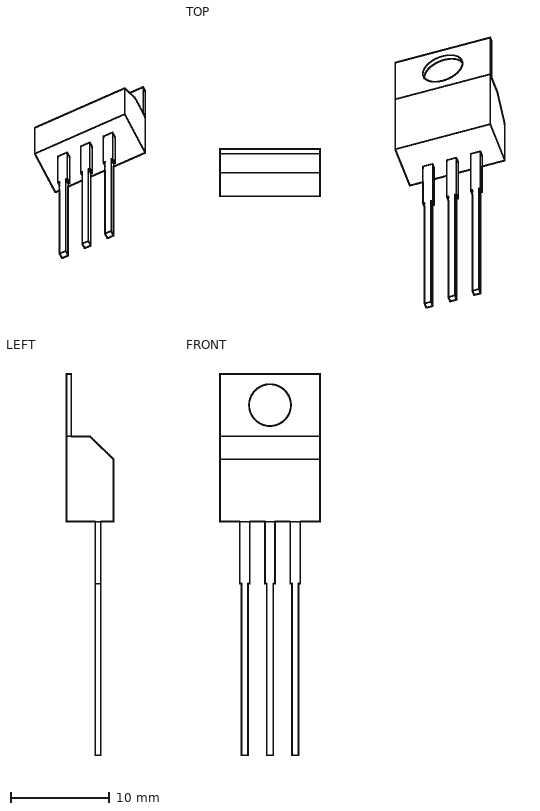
import cadquery as cq

width = 10.15

housing_depth = 4.8
housing_height = 8.65
bevel_depth = housing_depth / 2
bevel_height = 2.33

tab_height = 6.35
tab_thickness = 0.5
hole_diameter = 4.23

overall_height = 38.8
lead_length = overall_height - tab_height - housing_height
lead_count = 3
lead_pitch = 2.55
lead_thickness = 0.6
lead_center_y = -3.22
shoulder_width = 1.05
shoulder_length = 6.32
tail_width = 0.7


def make_housing():
    """Block with a bevel along its upper front edge, as a profile extruded along X."""
    profile = [
        (0, 0),
        (-housing_depth, 0),
        (-housing_depth, housing_height - bevel_height),
        (-housing_depth + bevel_depth, housing_height),
        (0, housing_height),
    ]
    return cq.Workplane("YZ").polyline(profile).close().extrude(width / 2, both=True)


def make_tab():
    """Thin plate standing on the housing, flush with its back, with a central hole."""
    plate = cq.Workplane("XY").box(width, tab_thickness, tab_height)
    plate = plate.faces("<Y").workplane(centerOption="CenterOfMass").hole(hole_diameter)
    return plate.translate((0, -tab_thickness / 2, housing_height + tab_height / 2))


def make_lead(center_x):
    """Flat lead hanging from the housing, stepping from a wide shoulder to a narrow tail."""
    profile = [
        (-shoulder_width / 2, 0),
        (shoulder_width / 2, 0),
        (shoulder_width / 2, -shoulder_length),
        (tail_width / 2, -shoulder_length),
        (tail_width / 2, -lead_length),
        (-tail_width / 2, -lead_length),
        (-tail_width / 2, -shoulder_length),
        (-shoulder_width / 2, -shoulder_length),
    ]
    lead = cq.Workplane("XZ").polyline(profile).close().extrude(lead_thickness / 2, both=True)
    return lead.translate((center_x, lead_center_y, 0))


housing = make_housing()
tab = make_tab()

leads = []
for index in range(lead_count):
    center_x = (index - (lead_count - 1) / 2) * lead_pitch
    leads.append(make_lead(center_x).val())

result = cq.Compound.makeCompound([housing.val(), tab.val(), *leads])